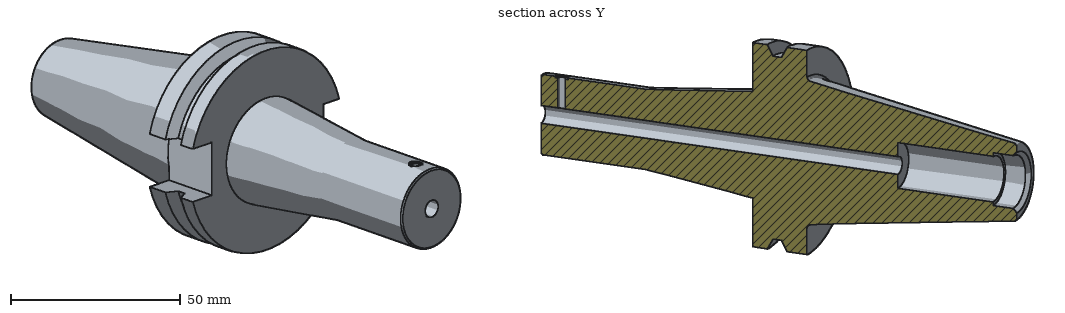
import cadquery as cq
import math

total_length = 157.2

large_end_diameter = 44.8
small_end_diameter = 24.0
large_end_radius = large_end_diameter / 2
small_end_radius = small_end_diameter / 2
small_end_fillet = 1.4

match_tolerance = 0.002

flange_diameter = 63.4
flange_radius = flange_diameter / 2
flange_start = 69.3
flange_end = 87.4
flange_root_fillet = 1.1
flange_rim_length = 1.1
flange_rim_drop = 0.2
groove_center = 79.2
groove_floor_diameter = 56.8
groove_floor_radius = groove_floor_diameter / 2
groove_floor_width = 2.7
groove_flank_angle = 30.0

collar_length = 1.0
collar_radius = 16.5
shank_diameter = 25.0
shank_start = 122.8
shank_chamfer = 0.5

slot_width = 16.7
slot_floor_back = 23.9
slot_floor_front = 22.5
slot_lead = 1.5

mouth_diameter = 18.7
counterbore_diameter = 16.2
counterbore_depth = 7.9
stud_bore_diameter = 14.0
stud_bore_end = 39.3
through_hole_diameter = 5.3
mouth_chamfer = (mouth_diameter - counterbore_diameter) / 2

radial_hole_x = 150.5
radial_hole_diameter = 2.4
radial_mouth_diameter = 4.1
radial_mouth_depth = 0.5


def turned_body():
    """Revolve the outer profile, given as (X, radius) points, about the X axis."""
    shank_radius = shank_diameter / 2
    flank_run = (flange_radius - groove_floor_radius) * math.tan(math.radians(groove_flank_angle))
    floor_half = groove_floor_width / 2
    opening_half = floor_half + flank_run
    profile = [
        (0, 0),
        (0, small_end_radius),
        (flange_start, large_end_radius),
        (flange_start, flange_radius),
        (groove_center - opening_half, flange_radius),
        (groove_center - floor_half, groove_floor_radius),
        (groove_center + floor_half, groove_floor_radius),
        (groove_center + opening_half, flange_radius),
        (flange_end - flange_rim_length, flange_radius),
        (flange_end, flange_radius - flange_rim_drop),
        (flange_end, collar_radius),
        (flange_end + collar_length, collar_radius),
        (shank_start, shank_radius),
        (total_length, shank_radius),
        (total_length, 0),
    ]
    body = cq.Workplane("XY").polyline(profile).close().revolve(360, (0, 0, 0), (1, 0, 0))
    body = body.faces("<X").edges().fillet(small_end_fillet)
    body = body.faces(">X").edges().chamfer(shank_chamfer)
    root_edge = body.edges("%CIRCLE").filter(
        lambda edge: math.isclose(edge.radius(), large_end_radius, abs_tol=match_tolerance)
    )
    return root_edge.fillet(flange_root_fillet)


def drive_slot(side, floor_distance):
    """Block that cuts one drive slot on the +Y (1) or -Y (-1) side."""
    slot_start = flange_start - slot_lead
    length = flange_end - slot_start
    depth = flange_radius - floor_distance
    block = cq.Workplane("XY").box(length, depth, slot_width, centered=(False, True, True))
    return block.translate((slot_start, side * (floor_distance + depth / 2), 0))


def axial_bore():
    """Stepped bore with a chamfered mouth, continuing as a narrow through hole."""
    stud_radius = stud_bore_diameter / 2
    hole_radius = through_hole_diameter / 2
    profile = [
        (0, 0),
        (0, mouth_diameter / 2),
        (mouth_chamfer, counterbore_diameter / 2),
        (counterbore_depth, counterbore_diameter / 2),
        (counterbore_depth, stud_radius),
        (stud_bore_end, stud_radius),
        (stud_bore_end, hole_radius),
        (total_length, hole_radius),
        (total_length, 0),
    ]
    return cq.Workplane("XY").polyline(profile).close().revolve(360, (0, 0, 0), (1, 0, 0))


def radial_hole():
    """Counterbored hole from the top of the shank down to the through hole."""
    top = shank_diameter / 2
    profile = [
        (0, 0),
        (radial_hole_diameter / 2, 0),
        (radial_hole_diameter / 2, top - radial_mouth_depth),
        (radial_mouth_diameter / 2, top - radial_mouth_depth),
        (radial_mouth_diameter / 2, top),
        (0, top),
    ]
    cutter = cq.Workplane("XZ").polyline(profile).close().revolve(360, (0, 0, 0), (0, 1, 0))
    return cutter.translate((radial_hole_x, 0, 0))


result = turned_body()
for slot_side, slot_floor in ((1, slot_floor_back), (-1, slot_floor_front)):
    result = result.cut(drive_slot(slot_side, slot_floor))
result = result.cut(axial_bore()).cut(radial_hole())